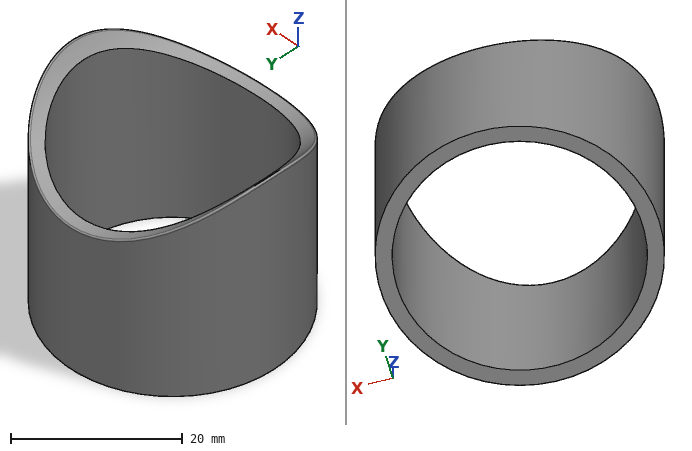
import cadquery as cq
import math

outer_diameter = 33.7
wall = 2.0
height = 29.95
saddle_radius = 21.2
edge_radius = 0.2

outer_radius = outer_diameter / 2
inner_radius = outer_radius - wall

rounding_center_z = height - edge_radius
rounding_center_x = outer_radius - edge_radius
saddle_axis_z = rounding_center_z + math.sqrt(
    (saddle_radius + edge_radius) ** 2 - rounding_center_x**2
)

post = (
    cq.Workplane("XY")
    .circle(outer_radius)
    .extrude(saddle_axis_z)
    .rotate((0, 0, 0), (0, 0, 1), 180)
)

saddle = (
    cq.Workplane("XZ", origin=(0, 0, saddle_axis_z))
    .circle(saddle_radius)
    .extrude(outer_diameter, both=True)
)
post = post.cut(saddle)

post = post.edges(">Z").fillet(edge_radius)

bore = cq.Workplane("XY").circle(inner_radius).extrude(saddle_axis_z)
result = post.cut(bore)